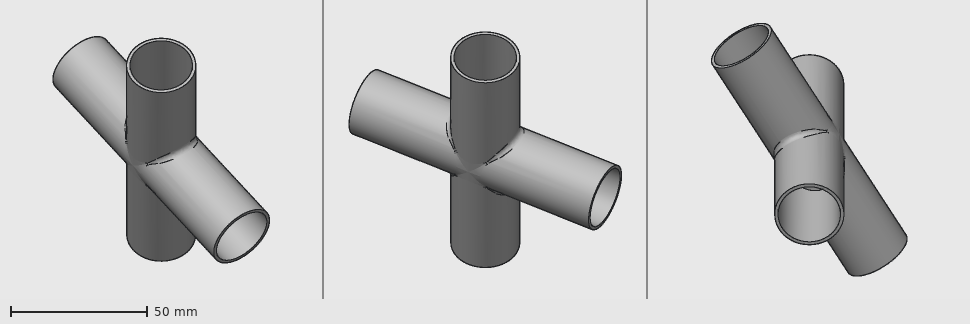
import cadquery as cq
import math

tube_length = 100.0
outer_diameter = 25.4
bore_diameter = 22.9
blend_radius = 2.0
overall_depth = 25.6

blend_corner_offset = 7.0
patch_waist_offset = 5.3
side_points = 9
guide_fractions = [0.2, 0.4, 0.6, 0.8]
strip_sections = 7
patch_sink = 0.01
strip_overlap = 2.0

outer_radius = outer_diameter / 2
ball_path_radius = outer_radius + blend_radius
patch_angle = math.degrees(math.acos(blend_corner_offset / ball_path_radius))
root_depth = 5.0
quadrants = [(1, 1), (-1, 1), (-1, -1), (1, -1)]


def crossed_rods(diameter):
    """Two equal solid rods, along X and along Z."""
    along_x = cq.Workplane("YZ").circle(diameter / 2).extrude(tube_length / 2, both=True)
    along_z = cq.Workplane("XY").circle(diameter / 2).extrude(tube_length / 2, both=True)
    return along_x.union(along_z)


def blend_arc(angle, x_sign, z_sign):
    """Start, middle and end of the arc where a ball in the valley touches both tubes."""
    c = math.cos(math.radians(angle))
    s = math.sin(math.radians(angle))
    center = cq.Vector(x_sign * ball_path_radius * c, ball_path_radius * s, z_sign * ball_path_radius * c)
    on_x_tube = cq.Vector(center.x, outer_radius * s, z_sign * outer_radius * c)
    on_z_tube = cq.Vector(x_sign * outer_radius * c, outer_radius * s, center.z)
    toward_valley = ((on_x_tube + on_z_tube) * 0.5 - center).normalized()
    return on_x_tube, center + toward_valley * blend_radius, on_z_tube


def strip_section(angle, x_sign, z_sign):
    """Closed section of a blend strip, with its root buried in the tubes."""
    start, middle, end = blend_arc(angle, x_sign, z_sign)
    c = math.cos(math.radians(angle))
    s = math.sin(math.radians(angle))
    root_offset = (ball_path_radius - root_depth / 2) * c
    root = cq.Vector(x_sign * root_offset, (ball_path_radius - root_depth) * s, z_sign * root_offset)
    return cq.Wire.assembleEdges([
        cq.Edge.makeThreePointArc(start, middle, end),
        cq.Edge.makeLine(end, root),
        cq.Edge.makeLine(root, start),
    ])


def blend_strip(x_sign, z_sign):
    """Rolling-ball blend around one valley between the tubes."""
    end_angle = patch_angle + strip_overlap
    angles = [end_angle * (2 * i / (strip_sections - 1) - 1) for i in range(strip_sections)]
    return cq.Solid.makeLoft([strip_section(angle, x_sign, z_sign) for angle in angles])


def patch_side():
    """Half of a patch side on the +X tube, curved like a circular arc, from waist to corner."""
    half_width = outer_radius * math.cos(math.radians(patch_angle))
    inset = blend_corner_offset - patch_waist_offset
    curve_radius = (half_width**2 + inset**2) / (2 * inset)
    points = []
    for i in range(side_points):
        across = half_width * i / (side_points - 1)
        drop = curve_radius - math.sqrt(curve_radius**2 - across**2)
        height = math.sqrt(outer_radius**2 - across**2)
        points.append(cq.Vector(patch_waist_offset + drop, height - patch_sink, across))
    return cq.Edge.makeSpline(points)


def crown_point(rim, fraction):
    """Point on the elliptical arc from the level top of the patch (0) to a rim point (1)."""
    top = overall_depth / 2
    fall = 1 - (rim.y / top) ** 2
    return cq.Vector(rim.x * fraction, top * math.sqrt(1 - fall * fraction**2), rim.z * fraction)


def patch_octant():
    """One eighth of the +Y patch, between the X axis and the diagonal, closed down to the origin."""
    origin = cq.Vector(0, 0, 0)
    crown = cq.Vector(0, overall_depth / 2, 0)
    fractions = [i / (side_points - 1) for i in range(side_points)]
    side = patch_side()
    waist = side.startPoint()
    corner = side.endPoint()

    full_arc = cq.Edge.makeThreePointArc(*blend_arc(patch_angle, 1, 1))
    full_arc = full_arc.translate(cq.Vector(0, -patch_sink, 0))
    valley = full_arc.positionAt(0.5)
    corner_arc = cq.Edge.makeThreePointArc(corner, full_arc.positionAt(0.25), valley)

    ridge = cq.Edge.makeSpline([crown_point(valley, fraction) for fraction in fractions])
    crown_guides = [
        crown_point(side.positionAt(along_side), fraction)
        for along_side in guide_fractions
        for fraction in guide_fractions
    ]

    to_crown = cq.Edge.makeLine(origin, crown)
    to_waist = cq.Edge.makeLine(origin, waist)
    to_corner = cq.Edge.makeLine(origin, corner)
    to_valley = cq.Edge.makeLine(origin, valley)
    spoke = cq.Edge.makeSpline([crown_point(waist, fraction) for fraction in fractions])
    boundaries = [
        [spoke, side, corner_arc, ridge],
        [to_crown, spoke, to_waist],
        [to_waist, side, to_corner],
        [to_corner, corner_arc, to_valley],
        [to_valley, ridge, to_crown],
    ]
    faces = [cq.Face.makeNSidedSurface(boundaries[0], crown_guides)]
    faces += [cq.Face.makeNSidedSurface(edges, []) for edges in boundaries[1:]]
    return cq.Solid.makeSolid(cq.Shell.makeShell(faces))


def crossing_patch():
    """Complete +Y patch made from mirrored octants."""
    beside_x = cq.Workplane(patch_octant())
    beside_z = beside_x.mirror(cq.Vector(1, 0, -1))
    quarter = beside_x.union(beside_z)
    half = quarter.union(quarter.mirror("YZ"))
    return half.union(half.mirror("XY"))


body = crossed_rods(outer_diameter)
for x_sign, z_sign in quadrants:
    body = body.union(cq.Workplane(blend_strip(x_sign, z_sign)))

patch = crossing_patch()
body = body.union(patch).union(patch.mirror("XZ"))

result = cq.Workplane(body.cut(crossed_rods(bore_diameter)).solids().val())